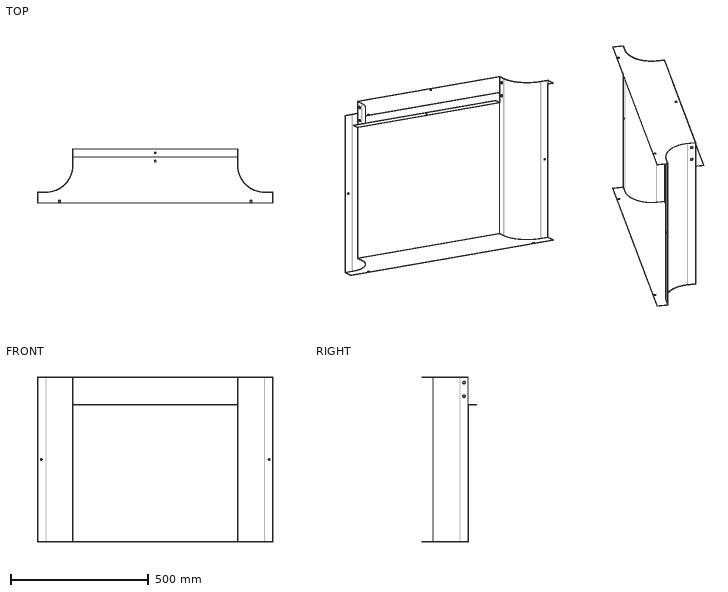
import cadquery as cq

width = 858.0
depth = 198.0
height = 601.0
sheet = 1.0

body_width = 602.0
bend_radius = 98.0
front_flange_y = 40.0
rear_flange_length = 30.0

panel_height = 501.0

large_hole = 7.0
side_hole_size = 9.0
small_hole = 5.0
hole_cut = 4 * sheet
corner_hole_x = 349.0
corner_hole_y = 7.0
flange_hole_inset = 14.0
side_hole_drops = (20.0, 69.5)
shelf_hole_inset = 15.0

half_width = width / 2
half_body = body_width / 2
bend_start_x = half_body + bend_radius
bend_end_y = front_flange_y + bend_radius
body_depth = bend_end_y + rear_flange_length
rear_hole_y = body_depth - rear_flange_length / 2
bend_center = (bend_start_x, bend_end_y)


def block(x_range, y_range, z_range):
    """Box spanning the given coordinate ranges."""
    sizes = [high - low for low, high in (x_range, y_range, z_range)]
    corner = (x_range[0], y_range[0], z_range[0])
    return cq.Workplane("XY").box(*sizes, centered=False).translate(corner)


def bend_cylinder(radius):
    """Full-height cylinder about the right-hand bend axis."""
    return cq.Workplane("XY").center(*bend_center).circle(radius).extrude(height)


def end_plate(bottom_z):
    """Horizontal plate with wide front corners and concave rear shoulders."""
    front = block((-half_width, half_width), (0, front_flange_y), (0, sheet))
    middle = block((-bend_start_x, bend_start_x), (0, bend_end_y), (0, sheet))
    rear = block((-half_body, half_body), (0, body_depth), (0, sheet))
    right_bend = bend_cylinder(bend_radius)
    left_bend = right_bend.mirror("YZ")
    plate = front.union(middle.cut(right_bend).cut(left_bend)).union(rear)
    return plate.translate((0, 0, bottom_z))


def right_wall():
    """Bent sheet joining the end plates along the shoulder outline."""
    front = block((bend_start_x, half_width), (front_flange_y - sheet, front_flange_y), (0, height))
    rear = block((half_body - sheet, half_body), (bend_end_y, body_depth), (0, height))
    quarter = block((half_body - sheet, bend_start_x), (front_flange_y - sheet, bend_end_y), (0, height))
    bend = bend_cylinder(bend_radius + sheet).cut(bend_cylinder(bend_radius)).intersect(quarter)
    return front.union(bend).union(rear)


def rear_panel():
    """Upright panel behind the body, bent rearward into a shelf at its top."""
    upright = block((-half_body, half_body), (body_depth, body_depth + sheet), (0, panel_height))
    shelf = block((-half_body, half_body), (body_depth, depth), (panel_height - sheet, panel_height))
    return upright.union(shelf)


def drill(axis_plane, center, diameter):
    """Short cylinder along the plane normal, centered on a sheet."""
    plane = cq.Workplane(axis_plane, origin=center)
    return plane.circle(diameter / 2).extrude(hole_cut, both=True)


result = end_plate(0).union(end_plate(height - sheet))
wall = right_wall()
result = result.union(wall).union(wall.mirror("YZ")).union(rear_panel())

for side in (-1, 1):
    for z in (0, height):
        result = result.cut(drill("XY", (side * corner_hole_x, corner_hole_y, z), large_hole))
    flange_hole = (side * (half_width - flange_hole_inset), front_flange_y, height / 2)
    result = result.cut(drill("XZ", flange_hole, small_hole))
    for drop in side_hole_drops:
        side_hole = (side * half_body, rear_hole_y, height - drop)
        result = result.cut(drill("YZ", side_hole, side_hole_size))

result = result.cut(drill("XY", (0, rear_hole_y, height), large_hole))
result = result.cut(drill("XY", (0, depth - shelf_hole_inset, panel_height), small_hole))